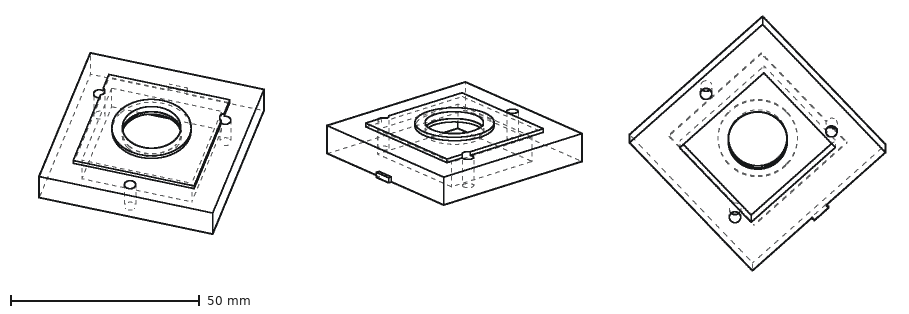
import cadquery as cq
import math

base_side = 48.0
base_height = 8.0

plate_side = 33.4
plate_top = 9.0
rim_diameter = 21.0
rim_top = 10.0

pocket_length = 30.4
pocket_width = 27.95
pocket_depth = 7.0

bore_diameter = 15.5
lower_bore_diameter = 15.75
bore_offset = 0.1

hole_count = 3
hole_diameter = 3.0
hole_circle_radius = 20.1
first_hole_angle = -90.0

tab_width = 5.1
tab_height = 1.45
tab_reach = 1.0


def block(length, width, bottom, top):
    return cq.Workplane("XY").workplane(offset=bottom).rect(length, width).extrude(top - bottom)


def cylinder(diameter, bottom, top, x=0, y=0):
    return cq.Workplane("XY", origin=(x, y, bottom)).circle(diameter / 2).extrude(top - bottom)


result = block(base_side, base_side, 0, base_height)
result = result.union(block(plate_side, plate_side, base_height, plate_top))
result = result.union(cylinder(rim_diameter, plate_top, rim_top))

tab = cq.Workplane("XY").box(tab_width, tab_reach, tab_height, centered=(True, False, False))
result = result.union(tab.translate((0, base_side / 2, 0)))

result = result.cut(block(pocket_length, pocket_width, 0, pocket_depth))
result = result.cut(cylinder(lower_bore_diameter, 0, base_height, y=bore_offset))
result = result.cut(cylinder(bore_diameter, 0, rim_top, y=bore_offset))

for index in range(hole_count):
    angle = math.radians(first_hole_angle + index * 360 / hole_count)
    hole_x = hole_circle_radius * math.cos(angle)
    hole_y = hole_circle_radius * math.sin(angle)
    result = result.cut(cylinder(hole_diameter, 0, rim_top, hole_x, hole_y))